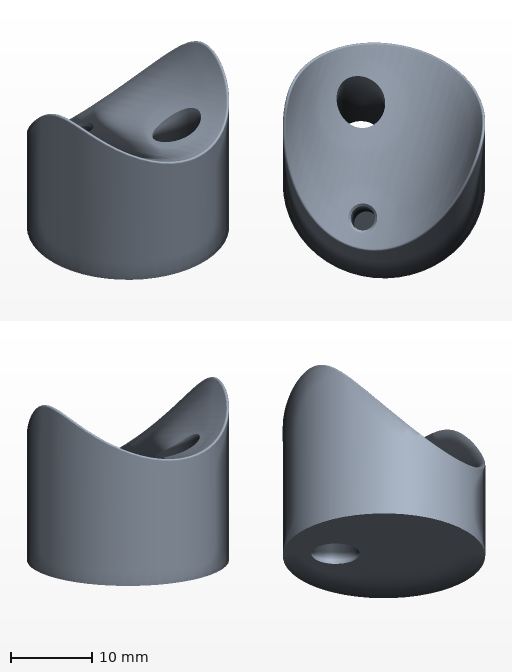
import cadquery as cq
import math

body_diameter = 25.0
blank_height = 30.0
saddle_radius = 12.82
saddle_tilt = 15.0
valley_height = 12.5
saddle_length = 75.0
rim_fillet = 0.2

through_diameter = 6.0
through_x = 4.25
through_y = 4.25

blind_diameter = 3.0
mouth_chamfer = 0.3
blind_x = -8.8
blind_y = 0.12
blind_depth = 6.0
drill_clearance = 5.0

tilt = math.radians(saddle_tilt)
valley_direction = cq.Vector(math.cos(tilt), 0, math.sin(tilt))
valley_normal = cq.Vector(-math.sin(tilt), 0, math.cos(tilt))


def make_body():
    """Cylinder with its top scooped out and the saddle rim rounded."""
    body = cq.Workplane("XY").circle(body_diameter / 2).extrude(blank_height)
    axis_height = valley_height + saddle_radius / math.cos(tilt)
    start = cq.Vector(0, 0, axis_height) - valley_direction * (saddle_length / 2)
    scoop = cq.Solid.makeCylinder(saddle_radius, saddle_length, start, valley_direction)
    lower_part = body.cut(cq.Workplane(scoop)).solids("<Z")
    rim = lower_part.edges("not(%CIRCLE or %LINE)")
    return rim.fillet(rim_fillet)


def cut_through_hole(body):
    drill = (
        cq.Workplane("XY")
        .center(through_x, through_y)
        .circle(through_diameter / 2)
        .extrude(blank_height)
    )
    return body.cut(drill)


def cut_blind_hole(body):
    """Flat-bottomed hole with a chamfered mouth."""
    mouth = cq.Vector(blind_x, blind_y, valley_height + blind_x * math.tan(tilt))
    into_body = valley_normal * -1
    bore = cq.Solid.makeCylinder(
        blind_diameter / 2,
        blind_depth + drill_clearance,
        mouth + valley_normal * drill_clearance,
        into_body,
    )
    drilled = body.cut(cq.Workplane(bore))
    mouth_edge = drilled.edges(cq.selectors.NearestToPointSelector(mouth.toTuple()))
    return mouth_edge.chamfer(mouth_chamfer)


result = cut_blind_hole(cut_through_hole(make_body()))